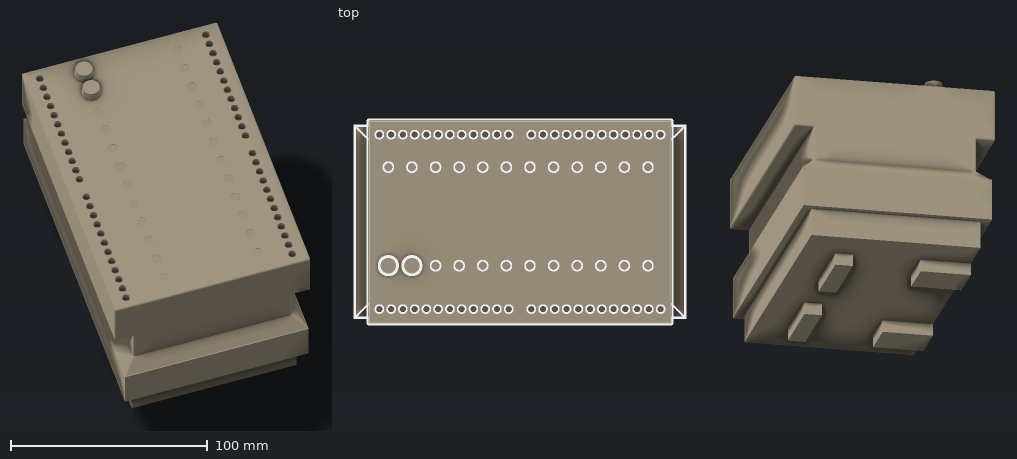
import cadquery as cq

total_height = 98.2
base_length, base_width = 168.5, 98.0

foot_top = 6.2
plinth_top = 20.4
base_top = 42.0
cap_bottom = 65.9
cap_top = 93.0

plinth_length, plinth_width = 159.4, 88.0
body_length = 155.0
cap_width = 104.5
edge_radius = 1.0

shoulder = (base_length - body_length) / 2
neck_width = base_width - 2 * shoulder
ledge = 0.5
bevel_height = shoulder - ledge

foot_outer_x = 56.5
front_foot_inner_x = 33.7
rear_foot_inner_x = 16.8
front_foot_front_y = -plinth_width / 2
front_foot_depth = 26.1
front_foot_back_y = front_foot_front_y + front_foot_depth
rear_foot_back_y, rear_foot_front_y = 26.5, 17.4

terminals_per_group = 12
terminal_first_x, terminal_last_x = 5.7, 71.5
terminal_pitch = (terminal_last_x - terminal_first_x) / (terminals_per_group - 1)
terminal_row_y = 44.3
terminal_diameter = 4.0
terminal_depth = 5.0

indicators_per_row = 12
indicator_first_x, indicator_last_x = -66.9, 65.0
indicator_pitch = (indicator_last_x - indicator_first_x) / (indicators_per_row - 1)
indicator_back_y, indicator_front_y = 27.8, -22.2
indicator_diameter = 5.0
indicator_depth = 0.2
button_count = 2
button_base_diameter, button_top_diameter = 10.0, 8.8


def block(length, width, bottom, top):
    """Centred box between two heights."""
    return cq.Workplane("XY").workplane(offset=bottom).rect(length, width).extrude(top - bottom)


def make_bevel():
    """Sloped shoulder from the ledge on the base up to the neck."""
    return (
        cq.Workplane("XY").workplane(offset=base_top).rect(base_length - 2 * ledge, base_width - 2 * ledge)
        .workplane(offset=bevel_height).rect(body_length, neck_width)
        .loft(ruled=True)
    )


def make_upper_body():
    """T-shaped neck and cap with its outer edges rounded."""
    neck = block(body_length, neck_width, base_top, cap_bottom)
    cap = block(body_length, cap_width, cap_bottom, cap_top)
    body = neck.union(cap)
    return body.edges("(>X or <X or >Y or <Y) exc <Z").fillet(edge_radius)


def make_foot(side, inner_x, back_y, front_y):
    """Rail foot on one side (-1 or +1) of the YZ plane."""
    length = foot_outer_x - inner_x
    width = back_y - front_y
    center = (side * (foot_outer_x + inner_x) / 2, (back_y + front_y) / 2)
    return cq.Workplane("XY").center(*center).rect(length, width).extrude(foot_top)


def row_points(first_x, pitch, count, y):
    """Evenly spaced points along X."""
    return [(first_x + i * pitch, y) for i in range(count)]


def make_drills(points, diameter, depth):
    """Blind holes sunk from the cap top."""
    floor = cq.Workplane("XY").workplane(offset=cap_top - depth)
    return floor.pushPoints(points).circle(diameter / 2).extrude(depth)


def make_button(x, y):
    """Slightly tapered push button standing on the cap."""
    return (
        cq.Workplane("XY").workplane(offset=cap_top).center(x, y).circle(button_base_diameter / 2)
        .workplane(offset=total_height - cap_top).circle(button_top_diameter / 2)
        .loft()
    )


result = (
    block(plinth_length, plinth_width, foot_top, plinth_top)
    .union(block(base_length, base_width, plinth_top, base_top))
    .union(make_bevel())
    .union(make_upper_body())
)

for side in (-1, 1):
    result = result.union(make_foot(side, front_foot_inner_x, front_foot_back_y, front_foot_front_y))
    result = result.union(make_foot(side, rear_foot_inner_x, rear_foot_back_y, rear_foot_front_y))

terminal_points = []
for y in (-terminal_row_y, terminal_row_y):
    for side in (-1, 1):
        terminal_points += row_points(side * terminal_first_x, side * terminal_pitch, terminals_per_group, y)
result = result.cut(make_drills(terminal_points, terminal_diameter, terminal_depth))

back_row = row_points(indicator_first_x, indicator_pitch, indicators_per_row, indicator_back_y)
front_row = row_points(indicator_first_x, indicator_pitch, indicators_per_row, indicator_front_y)
indicator_points = back_row + front_row[button_count:]
result = result.cut(make_drills(indicator_points, indicator_diameter, indicator_depth))

for x, y in front_row[:button_count]:
    result = result.union(make_button(x, y))